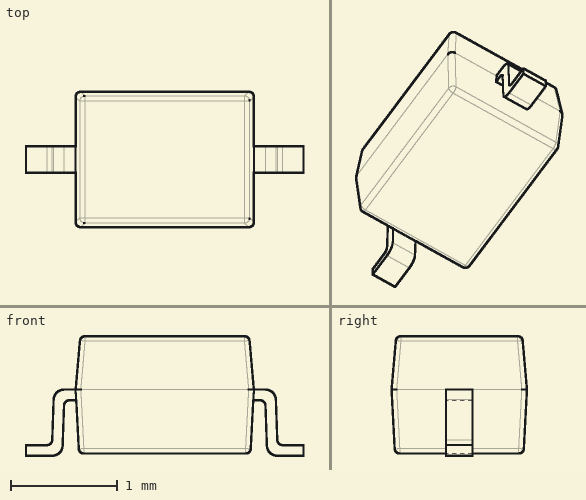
import cadquery as cq
import math

BODY_LENGTH = 1.67
BODY_WIDTH = 1.27
UPPER_HEIGHT = 0.5
LOWER_HEIGHT = 0.6
UPPER_DRAFT = 5.0
LOWER_DRAFT = 3.0
BODY_FILLET = 0.05

SPAN = 2.6
STANDOFF = 0.02
LEAD_WIDTH = 0.25
LEAD_THICKNESS = 0.101
FOOT_LENGTH = 0.245
LEG_TILT = 2.0
OUTER_BEND = 0.1
INNER_BEND = 0.05
LEAD_EMBED = 0.13

PARTING_Z = STANDOFF + LOWER_HEIGHT


def make_half(height, draft, direction):
    """Half of the body, drafted away from the parting plane (direction +1 up, -1 down)."""
    inset = 2 * height * math.tan(math.radians(draft))
    half = (
        cq.Workplane("XY", origin=(0, 0, PARTING_Z))
        .rect(BODY_LENGTH, BODY_WIDTH)
        .workplane(offset=direction * height)
        .rect(BODY_LENGTH - inset, BODY_WIDTH - inset)
        .loft(ruled=True)
    )
    parting_edges = "<Z" if direction > 0 else ">Z"
    return half.edges(f"not {parting_edges}").fillet(BODY_FILLET)


def make_lead():
    """Lead on the -X side: foot, leaning leg and a shoulder that enters the body."""
    lean = math.tan(math.radians(LEG_TILT))
    leg_run = LEAD_THICKNESS / math.cos(math.radians(LEG_TILT))
    tip_x = -SPAN / 2
    embedded_x = -BODY_LENGTH / 2 + LEAD_EMBED

    def leg_outer_x(z):
        return tip_x + FOOT_LENGTH + (z - LEAD_THICKNESS) * lean

    shoulder_z = PARTING_Z - LEAD_THICKNESS
    foot_corner = (leg_outer_x(LEAD_THICKNESS), LEAD_THICKNESS)
    heel_corner = (leg_outer_x(0) + leg_run, 0)
    shoulder_corner = (leg_outer_x(PARTING_Z), PARTING_Z)
    armpit_corner = (leg_outer_x(shoulder_z) + leg_run, shoulder_z)

    lead = (
        cq.Workplane("XZ")
        .moveTo(tip_x, 0)
        .lineTo(*heel_corner)
        .lineTo(*armpit_corner)
        .lineTo(embedded_x, shoulder_z)
        .lineTo(embedded_x, PARTING_Z)
        .lineTo(*shoulder_corner)
        .lineTo(*foot_corner)
        .lineTo(tip_x, LEAD_THICKNESS)
        .close()
        .extrude(LEAD_WIDTH / 2, both=True)
    )

    def bend_edge(corner):
        x, z = corner
        return cq.selectors.NearestToPointSelector((x, 0, z))

    for corner in (heel_corner, shoulder_corner):
        lead = lead.edges(bend_edge(corner)).fillet(OUTER_BEND)
    for corner in (foot_corner, armpit_corner):
        lead = lead.edges(bend_edge(corner)).fillet(INNER_BEND)
    return lead


body = make_half(UPPER_HEIGHT, UPPER_DRAFT, 1).union(make_half(LOWER_HEIGHT, LOWER_DRAFT, -1))
left_lead = make_lead()
right_lead = left_lead.mirror("YZ")

result = body.union(left_lead).union(right_lead)